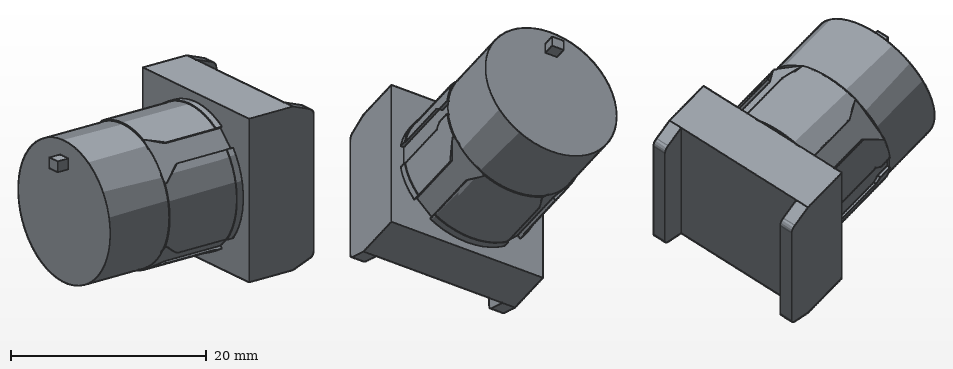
import cadquery as cq
import math

pin_length = 1.35
barrel_length = 7.55
collar_length = 9.35
block_depth = 5.65
ear_length = 2.69

block_side = 18.0
ear_thickness = 1.52
ear_chamfer_run = 2.15
ear_chamfer_drop = 0.8
ear_tip_radius = 0.75

barrel_diameter = 15.61
collar_diameter = 15.9
ring_diameter = 16.07
ring_length = 0.8

pin_width = 1.38
pin_height = 1.2
pin_center_z = 5.45

slot_floor_radius = 7.53
slot_outer_radius = 8.5
straight_length = 7.15
diagonal_inner_offset = 0.93
diagonal_outer_offset = 1.62
flare_end = 9.15
side_slot_width = 2.77
side_slot_neck_width = 1.7
neck_start = 7.8

half_side = block_side / 2
block_back = block_depth
ear_tip = block_depth + ear_length
barrel_end = -(collar_length + barrel_length)


def cylinder(diameter, length):
    """Cylinder about the Y axis, from the block face towards -Y."""
    return cq.Workplane("XZ").circle(diameter / 2).extrude(length)


def make_ear(x_start):
    """Plate over the full height, with sloped and rounded corners at its tip."""
    slope_end = block_back + ear_chamfer_run
    tip_half_height = half_side - ear_chamfer_drop
    ear = (
        cq.Workplane("YZ", origin=(x_start, 0, 0))
        .moveTo(block_back, -half_side)
        .lineTo(slope_end, -tip_half_height)
        .radiusArc((ear_tip, -tip_half_height + ear_tip_radius), -ear_tip_radius)
        .lineTo(ear_tip, tip_half_height - ear_tip_radius)
        .radiusArc((slope_end, tip_half_height), -ear_tip_radius)
        .lineTo(block_back, half_side)
        .close()
        .extrude(ear_thickness)
    )
    return ear


def slot_cutter(outline):
    """Cutter on the +X side; the outline points are (Y, Z)."""
    return (
        cq.Workplane("YZ", origin=(slot_floor_radius, 0, 0))
        .polyline(outline)
        .close()
        .extrude(slot_outer_radius - slot_floor_radius)
    )


def diagonal_cutter():
    """Slot in the +X +Z quarter, flaring until its floor runs out of the collar."""
    flare_offset = math.sqrt((collar_diameter / 2) ** 2 - slot_floor_radius**2)
    outline = [
        (0, -diagonal_inner_offset),
        (-straight_length, -diagonal_inner_offset),
        (-flare_end, -flare_offset),
        (-collar_length, -flare_offset),
        (-collar_length, flare_offset),
        (-flare_end, flare_offset),
        (-straight_length, diagonal_outer_offset),
        (0, diagonal_outer_offset),
    ]
    return slot_cutter(outline).rotate((0, 0, 0), (0, 1, 0), -45)


def side_cutter():
    """Single slot on the -X side, narrowing to a neck near the barrel."""
    half_width = side_slot_width / 2
    half_neck = side_slot_neck_width / 2
    outline = [
        (0, -half_width),
        (-straight_length, -half_width),
        (-neck_start, -half_neck),
        (-collar_length, -half_neck),
        (-collar_length, half_neck),
        (-neck_start, half_neck),
        (-straight_length, half_width),
        (0, half_width),
    ]
    return slot_cutter(outline).mirror("YZ")


collar = cylinder(collar_diameter, collar_length).union(cylinder(ring_diameter, ring_length))
upper_right = diagonal_cutter()
upper_left = upper_right.mirror("YZ")
for cutter in (upper_right, upper_left):
    collar = collar.cut(cutter).cut(cutter.mirror("XY"))
collar = collar.cut(side_cutter())

barrel = (
    cq.Workplane("XZ", origin=(0, -collar_length, 0))
    .circle(barrel_diameter / 2)
    .extrude(barrel_length)
)

pin = (
    cq.Workplane("XZ", origin=(0, barrel_end, pin_center_z))
    .rect(pin_width, pin_height)
    .extrude(pin_length)
)

block = cq.Workplane("XZ").rect(block_side, block_side).extrude(-block_depth)
for x_start in (-half_side, half_side - ear_thickness):
    block = block.union(make_ear(x_start))

result = block.union(collar).union(barrel).union(pin)